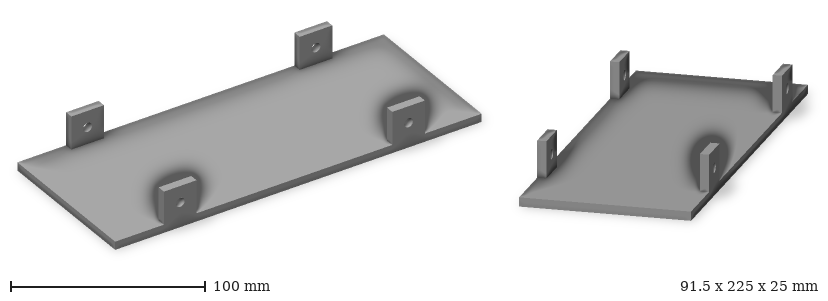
import cadquery as cq

width = 91.5
length = 225.0
thickness = 5.0

overall_height = 25.0
lug_thickness = 5.0
lug_length = 20.0
front_margin = 30.0
back_margin = 34.9
hole_diameter = 5.5

lug_height = overall_height - thickness
hole_height = thickness + lug_height / 2
lug_x = (width - lug_thickness) / 2
front_lug_y = -length / 2 + front_margin + lug_length / 2
back_lug_y = length / 2 - back_margin - lug_length / 2


def make_lug(x, y):
    """Square lug standing on the plate, centred on x and y."""
    lug = cq.Workplane("XY").box(lug_thickness, lug_length, lug_height, centered=(True, True, False))
    return lug.translate((x, y, thickness))


def make_hole(y):
    """Cylinder along X that drills both lugs of a facing pair."""
    drill = cq.Workplane("YZ").center(y, hole_height).circle(hole_diameter / 2)
    return drill.extrude(width / 2, both=True)


result = cq.Workplane("XY").box(width, length, thickness, centered=(True, True, False))
for lug_y in (front_lug_y, back_lug_y):
    for lug_side in (-1, 1):
        result = result.union(make_lug(lug_side * lug_x, lug_y))
    result = result.cut(make_hole(lug_y))